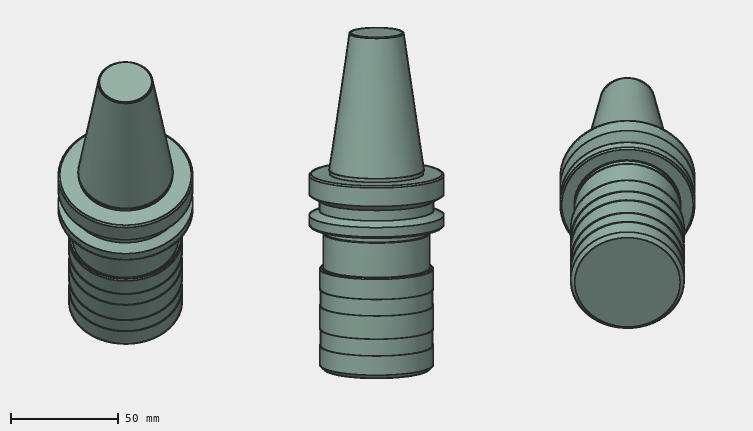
import cadquery as cq

total_length = 159.9
gauge_level = 94.5
flange_top = 92.7
flange_bottom = 67.8
groove_mouth_top = 83.1
groove_floor_top = 80.3
groove_floor_bottom = 75.3
groove_mouth_bottom = 73.0
neck_relief_bottom = 64.5
body_top = 48.1
band_levels = [(30.0, 37.9), (11.0, 19.0)]

gauge_radius = 22.2
taper_relief_radius = 21.9
flange_radius = 31.5
groove_floor_radius = 26.7
neck_radius = 25.0
neck_relief_depth = 0.3
body_radius = 26.5
band_depth = 0.3

shank_chamfer = 0.5
flange_chamfer = 0.8
body_chamfer = 0.6
nose_chamfer = 1.9

taper_on_radius = 7 / 24 / 2
shank_length = total_length - gauge_level
shank_end_radius = gauge_radius - shank_length * taper_on_radius


def cylinder(radius, bottom, top):
    """Round section about Z between two levels."""
    return cq.Workplane("XY").workplane(offset=bottom).circle(radius).extrude(top - bottom)


def revolve_profile(points):
    """Solid turned about Z from a (radius, level) outline."""
    return cq.Workplane("XZ").polyline(points).close().revolve(360, (0, 0, 0), (0, 1, 0))


def make_shank():
    taper = revolve_profile([
        (0, gauge_level),
        (gauge_radius, gauge_level),
        (shank_end_radius, total_length),
        (0, total_length),
    ]).faces(">Z").edges().chamfer(shank_chamfer)
    return taper.union(cylinder(taper_relief_radius, flange_top, gauge_level))


def make_flange():
    disc = cylinder(flange_radius, flange_bottom, flange_top)
    disc = disc.faces("<Z or >Z").edges().chamfer(flange_chamfer)
    groove = revolve_profile([
        (flange_radius, groove_mouth_top),
        (groove_floor_radius, groove_floor_top),
        (groove_floor_radius, groove_floor_bottom),
        (flange_radius, groove_mouth_bottom),
    ])
    return disc.cut(groove)


def make_neck():
    relief_radius = neck_radius - neck_relief_depth
    return revolve_profile([
        (0, body_top),
        (neck_radius, body_top),
        (neck_radius, neck_relief_bottom),
        (relief_radius, neck_relief_bottom + neck_relief_depth),
        (relief_radius, flange_bottom - neck_relief_depth),
        (neck_radius, flange_bottom),
        (0, flange_bottom),
    ])


def make_body():
    body = cylinder(body_radius, 0, body_top)
    body = body.faces(">Z").edges().chamfer(body_chamfer)
    body = body.faces("<Z").edges().chamfer(nose_chamfer)
    for bottom, top in band_levels:
        band = cylinder(body_radius, bottom, top).cut(cylinder(body_radius - band_depth, bottom, top))
        body = body.cut(band)
    return body


result = make_body().union(make_neck()).union(make_flange()).union(make_shank())